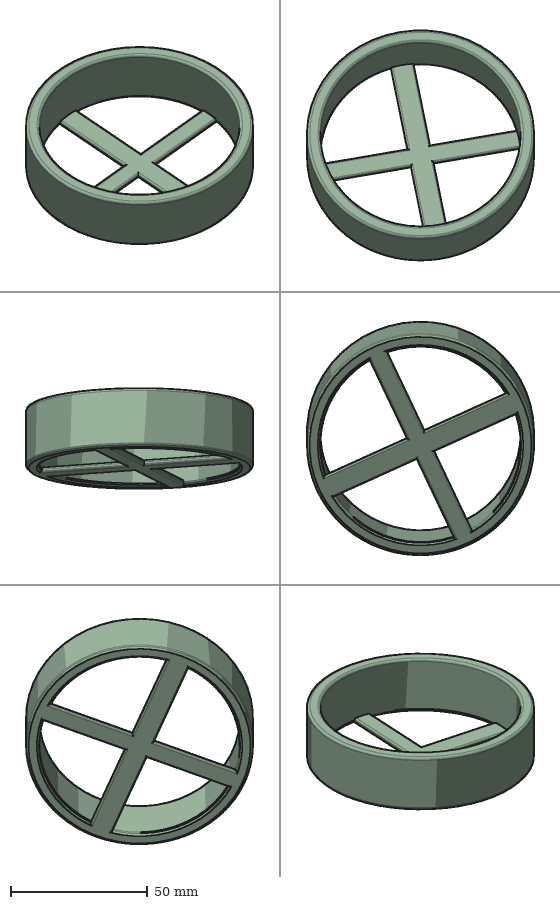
import cadquery as cq

outer_diameter = 83.5
inner_diameter = 73.5
height = 22.0
rim_radius = 1.0
base_chamfer = 1.0
chamfer_blend_radius = 0.8

spoke_x_width = 8.5
spoke_y_width = 7.0
spoke_thickness = 2.0
spoke_edge_radius = 0.7

spoke_length = (outer_diameter + inner_diameter) / 2


def make_ring():
    """Ring with a rounded rim on top and softened chamfers around both edges of its base."""
    ring = (
        cq.Workplane("XY")
        .circle(outer_diameter / 2)
        .circle(inner_diameter / 2)
        .extrude(height)
    )
    ring = ring.faces(">Z").edges().fillet(rim_radius)
    ring = ring.faces("<Z").edges().chamfer(base_chamfer)

    selection_margin = 0.1
    chamfer_corners = cq.selectors.BoxSelector(
        (-outer_diameter, -outer_diameter, base_chamfer - selection_margin),
        (outer_diameter, outer_diameter, base_chamfer + selection_margin),
        boundingbox=True,
    )
    return ring.edges(chamfer_corners).fillet(chamfer_blend_radius)


def make_cross():
    """Two crossed spokes with rounded upper and lower edges, trimmed to the middle of the ring wall."""
    spoke_x = cq.Workplane("XY").rect(spoke_length, spoke_x_width).extrude(spoke_thickness)
    spoke_y = cq.Workplane("XY").rect(spoke_y_width, spoke_length).extrude(spoke_thickness)
    cross = spoke_x.union(spoke_y).faces("<Z or >Z").edges().fillet(spoke_edge_radius)
    trim = cq.Workplane("XY").circle(spoke_length / 2 - spoke_edge_radius).extrude(spoke_thickness)
    return cross.intersect(trim)


result = make_ring().union(make_cross())